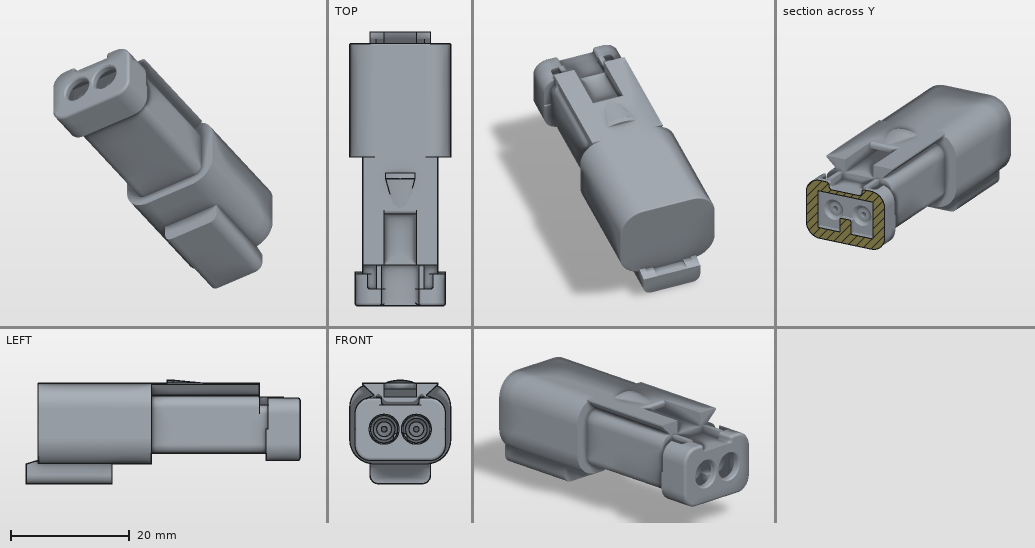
import cadquery as cq
import math


CAP_LOWER_END = 5.75
CAP_UPPER_END = 5.4
CAP_NOTCH_START = 2.85
RAIL_START = 6.9
SHROUD_START = 25.1
SHROUD_END = 44.2
TAB_START = 31.7
TAB_END = 46.18

CAP_WIDTH = 15.25
CAP_HEIGHT = 10.6
CAP_CORNER = 2.66
CAP_FRONT_ROUND = 0.5
CAP_NOTCH_HALF = 5.54
CAP_NOTCH_ROUND = 0.5
ENTRY_ROUND = 0.54
ENTRY_TOP_HALF = 3.67

BODY_WIDTH = 12.7
BODY_HEIGHT = 8.1
BODY_CORNER = 1.4
UPPER_TOP = 5.6
UPPER_CORNER = 2.0
GUIDE_INNER = 3.15
GUIDE_OUTER = 3.98
GUIDE_TOP = 5.45

RAIL_TOP = 7.79
RAIL_LIP = 0.25
RAIL_NECK_HALF = 4.42
RAIL_NECK_TOP = 5.75
SLOT_WIDTH = 5.44
SLOT_FLOOR = 5.4
SLOT_END = 15.5
SLOT_UNDERCUT_TOP = 6.8
SLOT_UNDERCUT_END = 18.5
SLOT_ROUND = 0.55
BUMP_HALF = 2.47
BUMP_RISE = 0.49
BUMP_BACK = 22.44
BUMP_CREST = 21.44
BUMP_TIP = 16.4

SHROUD_WIDTH = 17.05
SHROUD_BOTTOM = -5.84
SHROUD_CORNER = 4.15
SHROUD_END_ROUND = 0.2
TAB_WIDTH = 10.2
TAB_BOTTOM = -9.2
TAB_CORNER = 1.4
TAB_RAMP_HIGH = -5.23
TAB_RAMP_LEDGE = -5.46
TAB_GROOVE_HALF = 2.72
TAB_LEDGE_HALF = 4.09

HOLE_PITCH = 5.44
HOLE_MOUTH_R = 2.53
HOLE_BORE_R = 2.3
HOLE_THROAT_R = 1.83
HOLE_FLOOR_R = 1.25
HOLE_TIP_R = 0.48
HOLE_MOUTH_DEPTH = 0.25
HOLE_THROAT_LENGTH = 0.6
HOLE_TIP_LENGTH = 1.0

CHAMBER_START = 1.2
CHAMBER_END = 3.0
CHAMBER_WIDTH = 10.6
CHAMBER_HEIGHT = 6.6
CHAMBER_RIB_WIDTH = 2.2
CHAMBER_RIB_TOP = -0.75
CHAMBER_RIB_ROUND = 0.3


def block(x0, x1, y0, y1, z0, z1):
    """Axis-aligned box between two corners."""
    return cq.Workplane("XY").box(x1 - x0, y1 - y0, z1 - z0, centered=False).translate((x0, y0, z0))


def section(y):
    """Sketch plane at station y whose local axes are X and Z; extrude toward +Y is negative."""
    return cq.Workplane("XZ", origin=(0, y, 0))


def rounded_bar(width, z0, z1, corner, y0, y1):
    """Bar along Y with four equally rounded long edges."""
    return block(-width / 2, width / 2, y0, y1, z0, z1).edges("|Y").fillet(corner)


def mirrored(shape):
    """The shape together with its mirror image across the X = 0 plane."""
    return shape.union(shape.mirror("YZ"))


def make_entry_opening():
    """Opening in the cap's top wall, with an S-curved flank on each side."""
    floor = BODY_HEIGHT / 2
    top = CAP_HEIGHT / 2
    wall = ENTRY_TOP_HALF - ENTRY_ROUND
    foot = wall - ENTRY_ROUND
    bend = ENTRY_ROUND * math.sqrt(0.5)
    above = top + ENTRY_ROUND
    return (
        section(0)
        .moveTo(-foot, floor)
        .lineTo(foot, floor)
        .threePointArc((foot + bend, floor + ENTRY_ROUND - bend), (wall, floor + ENTRY_ROUND))
        .lineTo(wall, top - ENTRY_ROUND)
        .threePointArc((ENTRY_TOP_HALF - bend, top - ENTRY_ROUND + bend), (ENTRY_TOP_HALF, top))
        .lineTo(ENTRY_TOP_HALF, above)
        .lineTo(-ENTRY_TOP_HALF, above)
        .lineTo(-ENTRY_TOP_HALF, top)
        .threePointArc((bend - ENTRY_TOP_HALF, top - ENTRY_ROUND + bend), (-wall, top - ENTRY_ROUND))
        .lineTo(-wall, floor + ENTRY_ROUND)
        .threePointArc((-foot - bend, floor + ENTRY_ROUND - bend), (-foot, floor))
        .close()
        .extrude(-CAP_LOWER_END)
    )


def make_cap():
    """Wire-entry cap, notched at the top rear and open in the middle of its top wall."""
    half_height = CAP_HEIGHT / 2
    cap = rounded_bar(CAP_WIDTH, -half_height, half_height, CAP_CORNER, 0, CAP_LOWER_END)
    cap = cap.cut(block(-CAP_WIDTH, CAP_WIDTH, CAP_UPPER_END, CAP_LOWER_END, 0, CAP_HEIGHT))
    floor = BODY_HEIGHT / 2
    notch = block(-CAP_NOTCH_HALF, CAP_NOTCH_HALF, CAP_NOTCH_START, CAP_LOWER_END, floor, CAP_HEIGHT)
    notch = notch.edges("|Z and <Y").fillet(CAP_NOTCH_ROUND)
    cap = cap.cut(notch).cut(make_entry_opening())
    cap = cap.faces("<Y").edges().fillet(CAP_FRONT_ROUND)
    return cap.union(block(-ENTRY_TOP_HALF, ENTRY_TOP_HALF, 0, CAP_NOTCH_START, 0, floor))


def make_body():
    """Rounded body, its taller rear part, and two thin guides reaching into the cap."""
    half_height = BODY_HEIGHT / 2
    lower = rounded_bar(BODY_WIDTH, -half_height, half_height, BODY_CORNER, CAP_NOTCH_START, SHROUD_START)
    half_width = BODY_WIDTH / 2
    upper = block(-half_width, half_width, RAIL_START, SHROUD_START, 0, UPPER_TOP)
    upper = upper.edges("|Y and >Z").fillet(UPPER_CORNER)
    guide = block(GUIDE_INNER, GUIDE_OUTER, CAP_NOTCH_START, RAIL_START, 0, GUIDE_TOP)
    return lower.union(upper).union(mirrored(guide))


def make_rail():
    """Dovetail rail along the top of the body, with its bump."""
    half_width = BODY_WIDTH / 2
    base = UPPER_TOP - UPPER_CORNER
    rail = (
        section(RAIL_START)
        .polyline([
            (-RAIL_NECK_HALF, base),
            (RAIL_NECK_HALF, base),
            (RAIL_NECK_HALF, RAIL_NECK_TOP),
            (half_width, RAIL_TOP - RAIL_LIP),
            (half_width, RAIL_TOP),
            (-half_width, RAIL_TOP),
            (-half_width, RAIL_TOP - RAIL_LIP),
            (-RAIL_NECK_HALF, RAIL_NECK_TOP),
        ])
        .close()
        .extrude(RAIL_START - SHROUD_START)
    )
    return rail.union(make_bump())


def make_slot():
    """Slot in the rail top, open toward the cap, with a rounded, undercut lip at its end."""
    half_width = SLOT_WIDTH / 2
    bend = SLOT_ROUND * math.sqrt(0.5)
    lip_y = SLOT_END + SLOT_ROUND
    lip_z = RAIL_TOP - SLOT_ROUND
    return (
        cq.Workplane("YZ", origin=(-half_width, 0, 0))
        .moveTo(RAIL_START, SLOT_FLOOR)
        .lineTo(SLOT_UNDERCUT_END, SLOT_FLOOR)
        .lineTo(SLOT_UNDERCUT_END, SLOT_UNDERCUT_TOP)
        .lineTo(SLOT_END, SLOT_UNDERCUT_TOP)
        .lineTo(SLOT_END, lip_z)
        .threePointArc((lip_y - bend, lip_z + bend), (lip_y, RAIL_TOP))
        .lineTo(RAIL_START, RAIL_TOP)
        .close()
        .extrude(SLOT_WIDTH)
    )


def make_bump():
    """Domed bump on the rail: a short level crown, then a crown that sinks into the rail."""
    radius = (BUMP_HALF**2 + BUMP_RISE**2) / (2 * BUMP_RISE)
    axis_z = RAIL_TOP + BUMP_RISE - radius
    crown = section(BUMP_CREST).center(0, axis_z).circle(radius).extrude(BUMP_CREST - BUMP_BACK)
    slope = math.degrees(math.atan2(BUMP_RISE, BUMP_CREST - BUMP_TIP))
    ramp_length = 2 * (BUMP_CREST - BUMP_TIP)
    ramp = section(BUMP_CREST).center(0, axis_z).circle(radius).extrude(ramp_length)
    crest = RAIL_TOP + BUMP_RISE
    ramp = ramp.rotate((0, BUMP_CREST, crest), (1, BUMP_CREST, crest), slope)
    above_rail = block(-BUMP_HALF, BUMP_HALF, BUMP_TIP, BUMP_BACK, RAIL_TOP, crest + BUMP_RISE)
    return crown.intersect(above_rail).union(ramp.intersect(above_rail))


def make_shroud():
    """Solid rounded sleeve, level with the rail on top."""
    shroud = rounded_bar(SHROUD_WIDTH, SHROUD_BOTTOM, RAIL_TOP, SHROUD_CORNER, SHROUD_START, SHROUD_END)
    return shroud.faces(">Y").edges().fillet(SHROUD_END_ROUND)


def make_tab():
    """Coding tab under the shroud; its protruding end slopes up to the shroud beside a central groove."""
    half_width = TAB_WIDTH / 2
    tab = block(-half_width, half_width, TAB_START, TAB_END, TAB_BOTTOM, SHROUD_BOTTOM)
    tab = tab.edges("|Y and <Z").fillet(TAB_CORNER)
    ramp = (
        cq.Workplane("YZ", origin=(-half_width, 0, 0))
        .polyline([
            (TAB_START, SHROUD_BOTTOM),
            (TAB_END, SHROUD_BOTTOM),
            (SHROUD_END, TAB_RAMP_HIGH),
            (TAB_START, TAB_RAMP_HIGH),
        ])
        .close()
        .extrude(TAB_WIDTH)
    )
    ramp = ramp.cut(block(-TAB_LEDGE_HALF, TAB_LEDGE_HALF, SHROUD_END, TAB_END, TAB_RAMP_LEDGE, 0))
    ramp = ramp.cut(block(-TAB_GROOVE_HALF, TAB_GROOVE_HALF, SHROUD_END, TAB_END, SHROUD_BOTTOM, 0))
    return tab.union(ramp)


def make_chamber():
    """Rectangular void with a round-topped rib left standing between the two holes."""
    half_width = CHAMBER_WIDTH / 2
    half_height = CHAMBER_HEIGHT / 2
    void = block(-half_width, half_width, CHAMBER_START, CHAMBER_END, -half_height, half_height)
    rib_half = CHAMBER_RIB_WIDTH / 2
    rib = block(-rib_half, rib_half, CHAMBER_START, CHAMBER_END, -half_height, CHAMBER_RIB_TOP)
    rib = rib.edges("|Y and >Z").fillet(CHAMBER_RIB_ROUND)
    return void.cut(rib)


def make_contact_hole(x):
    """Turned hole along Y: flared bore into the chamber, then a throat sunk in the chamber's back wall."""
    throat_end = CHAMBER_END + HOLE_THROAT_LENGTH
    tip_end = throat_end + HOLE_TIP_LENGTH
    return (
        cq.Workplane("XY")
        .polyline([
            (0, 0),
            (HOLE_MOUTH_R, 0),
            (HOLE_BORE_R, HOLE_MOUTH_DEPTH),
            (HOLE_BORE_R, CHAMBER_START),
            (HOLE_FLOOR_R, CHAMBER_START),
            (HOLE_FLOOR_R, CHAMBER_END),
            (HOLE_THROAT_R, CHAMBER_END),
            (HOLE_FLOOR_R, throat_end),
            (HOLE_TIP_R, throat_end),
            (HOLE_TIP_R, tip_end),
            (0, tip_end),
        ])
        .close()
        .revolve(360, (0, 0, 0), (0, 1, 0))
        .translate((x, 0, 0))
    )


result = make_cap().union(make_body()).union(make_rail()).union(make_shroud()).union(make_tab())
result = result.cut(make_slot()).cut(make_chamber())
for side in (-1, 1):
    result = result.cut(make_contact_hole(side * HOLE_PITCH / 2))